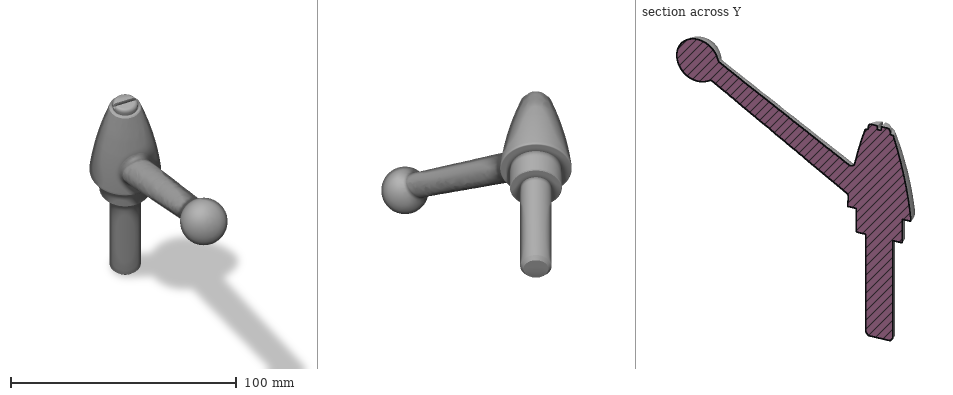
import cadquery as cq
import math

stud_diameter = 14.0
stud_tip_chamfer_height = 1.8
stud_tip_diameter = 11.0
collar_diameter = 23
collar_bottom = 50.3
collar_edge = 0.4
hub_bottom = 62.1
hub_top = 103.2
hub_base_diameter = 31.7
hub_top_diameter = stud_diameter
hub_rim_height = 1.3
hub_rim_edge = 0.5
hub_waist_radius = 12.8
hub_waist_height = 82.3
hub_top_edge = 0.4

screw_diameter = 11.0
screw_top = 106.1
screw_edge = 1.5
slot_width = 1.7
slot_depth = 1.9
bore_diameter = 11.3
bore_depth = 1.3

total_height = 128
ball_diameter = 21.1
total_length = 116.9
reach = total_length - hub_base_diameter / 2
arm_angle = 30
arm_rise = 1.7
arm_start_distance = 6.4
arm_root_height = 13.3
arm_root_width = 14.3
arm_tip_height = 10.9
arm_tip_width = 12.4
arm_root_distance = 17.9
arm_tip_distance = 9.6
root_fillet = 1.9
root_zone_top = 92.2
neck_fillet = 1.3
ball_centre = cq.Vector(reach - ball_diameter / 2, 0, total_height - ball_diameter / 2)


def cylinder(diameter, bottom, top):
    """Upright cylinder on the main axis."""
    return cq.Workplane("XY").workplane(offset=bottom).circle(diameter / 2).extrude(top - bottom)


def make_hub():
    """Bulged cone, straight at its bottom rim."""
    base_radius = hub_base_diameter / 2
    top_radius = hub_top_diameter / 2
    hub = (
        cq.Workplane("XZ")
        .moveTo(0, hub_bottom)
        .lineTo(base_radius, hub_bottom)
        .lineTo(base_radius, hub_bottom + hub_rim_height)
        .threePointArc((hub_waist_radius, hub_waist_height), (top_radius, hub_top))
        .lineTo(0, hub_top)
        .close()
        .revolve(360, (0, 0), (0, 1))
    )
    hub = hub.faces("<Z").edges().fillet(hub_rim_edge)
    return hub.faces(">Z").edges().chamfer(hub_top_edge)


def make_arm():
    """Arm from inside the hub to inside the ball, rising at the arm angle."""
    slope = math.radians(arm_angle)
    arm_end = ball_centre + cq.Vector(0, 0, arm_rise)
    direction = cq.Vector(math.cos(slope), 0, math.sin(slope))
    axis_length = arm_end.x / math.cos(slope)
    tapered_length = axis_length - arm_root_distance - arm_tip_distance
    height_taper = (arm_root_height - arm_tip_height) / tapered_length
    width_taper = (arm_root_width - arm_tip_width) / tapered_length

    def section_radii(distance):
        """Half height and half width at a distance from the main axis."""
        past_root = distance - arm_root_distance
        height = arm_root_height - height_taper * past_root
        width = arm_root_width - width_taper * past_root
        return height / 2, width / 2

    start = arm_end - direction * axis_length
    plane = cq.Plane(origin=start, xDir=(0, 1, 0), normal=direction)
    root_half_height, root_half_width = section_radii(arm_start_distance)
    tip_half_height, tip_half_width = section_radii(axis_length)
    return (
        cq.Workplane(plane)
        .workplane(offset=arm_start_distance)
        .ellipse(root_half_width, root_half_height)
        .workplane(offset=axis_length - arm_start_distance)
        .ellipse(tip_half_width, tip_half_height)
        .loft(ruled=True)
    )


def box_zone(low_corner, high_corner):
    """Selector for the edges lying wholly inside a box."""
    return cq.selectors.BoxSelector(low_corner, high_corner, boundingbox=True)


hub_with_arm = make_hub().union(make_arm())
root_zone = box_zone(
    (stud_diameter / 2, -arm_root_width, hub_bottom + hub_rim_height),
    (hub_base_diameter, arm_root_width, root_zone_top),
)
hub_with_arm = hub_with_arm.edges(root_zone).fillet(root_fillet)

ball = cq.Workplane("XY").sphere(ball_diameter / 2).translate(ball_centre)
body = hub_with_arm.union(ball)
neck_zone = box_zone(
    (ball_centre.x - ball_diameter, -ball_diameter, hub_top),
    (reach, ball_diameter, total_height),
)
body = body.edges(neck_zone).edges("not %CIRCLE").fillet(neck_fillet)

stud = cylinder(stud_diameter, 0, hub_bottom)
stud = stud.faces("<Z").edges().chamfer(
    stud_tip_chamfer_height, (stud_diameter - stud_tip_diameter) / 2
)
collar = cylinder(collar_diameter, collar_bottom, hub_bottom)
collar = collar.faces("<Z").edges().chamfer(collar_edge)

bore_bottom = hub_top - bore_depth
screw = cylinder(screw_diameter, bore_bottom, screw_top).faces(">Z").edges().fillet(screw_edge)
slot = cq.Workplane("XY").box(slot_width, screw_diameter, 2 * slot_depth).translate((0, 0, screw_top))
screw = screw.cut(slot)

body = body.cut(cylinder(bore_diameter, bore_bottom, hub_top))
result = body.union(collar).union(stud).union(screw)